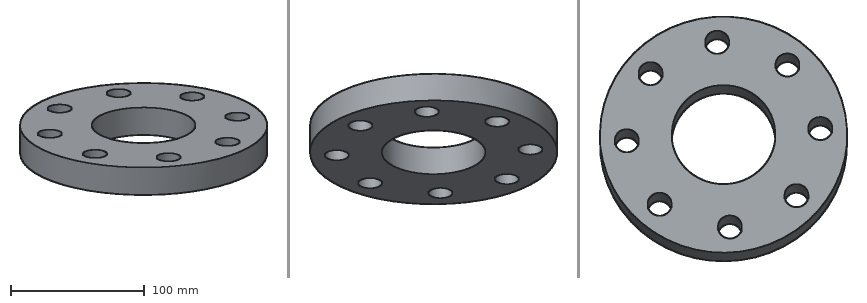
import cadquery as cq

flange_diameter = 185.0
flange_thickness = 22.0
bore_diameter = 77.5

bolt_circle_diameter = 145.0
bolt_hole_diameter = 18.0
bolt_hole_count = 8
bolt_pitch_angle = 360.0 / bolt_hole_count
first_bolt_angle = bolt_pitch_angle / 2


def make_ring():
    """Disc standing on the XY plane with the central bore through it."""
    return (
        cq.Workplane("XY")
        .circle(flange_diameter / 2)
        .circle(bore_diameter / 2)
        .extrude(flange_thickness)
    )


def make_bolt_holes():
    """Cylinders to remove for the evenly spaced through holes."""
    return (
        cq.Workplane("XY")
        .polarArray(bolt_circle_diameter / 2, first_bolt_angle, 360, bolt_hole_count)
        .circle(bolt_hole_diameter / 2)
        .extrude(flange_thickness)
    )


result = make_ring().cut(make_bolt_holes())